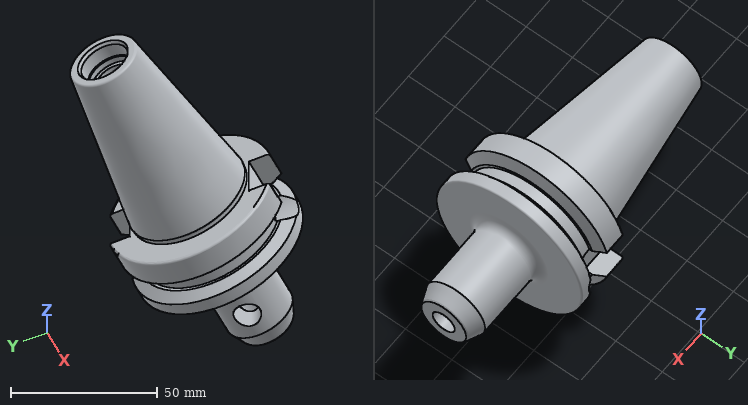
import cadquery as cq
import math

length = 128.9

taper_end = 65.4
taper_radius = 44.5 / 2
taper_slope = 7 / 48
small_end_radius = taper_radius - taper_end * taper_slope
small_end_round = 0.9
neck_start = 66.3
neck_radius = 44.0 / 2

flange_radius = 63.0 / 2
flange_back = 67.4
flange_front = 92.3
back_round = 1.0
front_round = 0.8
groove_back = 77.0
groove_floor_back = 79.4
groove_floor_front = 84.5
groove_front = 87.0
groove_radius = 26.0
groove_angle = math.radians(60)
back_wall_foot = flange_radius - (groove_floor_back - groove_back) * math.tan(groove_angle)
front_wall_foot = flange_radius - (groove_front - groove_floor_front) * math.tan(groove_angle)

nose_radius = 25.4 / 2
root_fillet = 4.1
nose_cone_start = 122.2
nose_tip_radius = 9.7
tip_chamfer = 0.6
tip_chamfer_height = 0.5
nose_cone_end = length - tip_chamfer
nose_cone_end_radius = nose_tip_radius + tip_chamfer_height

slot_width = 16.0
slot_floor = 22.7
slot_end = 88.3

mouth_radius = 9.5
entry_radius = 17.7 / 2
thread_radius = 17.0 / 2
middle_radius = 13.8 / 2
through_radius = 9.5 / 2
entry_depth = 6.5
thread_depth = 9.0
middle_depth = 38.7
mouth_angle = math.radians(30)
bore_cone_angle = math.radians(60)

screw_diameter = 9.5
screw_x = 112.8


def make_body():
    """Revolve the complete outer outline about X."""
    taper_angle = math.atan(taper_slope)
    round_end = small_end_round * (1 - math.sin(taper_angle))
    round_end_radius = small_end_radius + round_end * taper_slope
    round_centre_radius = round_end_radius - small_end_round * math.cos(taper_angle)
    fillet_mid = root_fillet * (1 - math.sqrt(0.5))
    outline = (
        cq.Workplane("XY")
        .moveTo(0, 0)
        .lineTo(0, round_centre_radius)
        .radiusArc((round_end, round_end_radius), small_end_round)
        .lineTo(taper_end, taper_radius)
        .lineTo(neck_start, neck_radius)
        .lineTo(flange_back, neck_radius)
        .lineTo(flange_back, flange_radius - back_round)
        .radiusArc((flange_back + back_round, flange_radius), back_round)
        .lineTo(groove_back, flange_radius)
        .lineTo(groove_floor_back, back_wall_foot)
        .lineTo(groove_floor_back, groove_radius)
        .lineTo(groove_floor_front, groove_radius)
        .lineTo(groove_floor_front, front_wall_foot)
        .lineTo(groove_front, flange_radius)
        .lineTo(flange_front - front_round, flange_radius)
        .radiusArc((flange_front, flange_radius - front_round), front_round)
        .lineTo(flange_front, nose_radius + root_fillet)
        .threePointArc(
            (flange_front + fillet_mid, nose_radius + fillet_mid),
            (flange_front + root_fillet, nose_radius),
        )
        .lineTo(nose_cone_start, nose_radius)
        .lineTo(nose_cone_end, nose_cone_end_radius)
        .lineTo(length, nose_tip_radius)
        .lineTo(length, 0)
        .close()
    )
    return outline.revolve(360, (0, 0, 0), (1, 0, 0))


def make_bore():
    """Revolve the stepped bore, open at both ends."""
    mouth_chamfer = (mouth_radius - entry_radius) / math.tan(mouth_angle)
    step_chamfer = entry_radius - thread_radius
    cone_length = (middle_radius - through_radius) / math.tan(bore_cone_angle)
    outline = (
        cq.Workplane("XY")
        .moveTo(0, 0)
        .lineTo(0, mouth_radius)
        .lineTo(mouth_chamfer, entry_radius)
        .lineTo(entry_depth, entry_radius)
        .lineTo(entry_depth + step_chamfer, thread_radius)
        .lineTo(thread_depth, thread_radius)
        .lineTo(thread_depth, middle_radius)
        .lineTo(middle_depth, middle_radius)
        .lineTo(middle_depth + cone_length, through_radius)
        .lineTo(length, through_radius)
        .lineTo(length, 0)
        .close()
    )
    return outline.revolve(360, (0, 0, 0), (1, 0, 0))


def make_drive_slot(side):
    """Round-ended slot, open towards the taper; side is +1 or -1 along Y."""
    end_radius = slot_width / 2
    arc_centre = slot_end - end_radius
    return (
        cq.Workplane("XZ", origin=(0, side * slot_floor, 0))
        .moveTo(taper_end, -end_radius)
        .lineTo(arc_centre, -end_radius)
        .threePointArc((slot_end, 0), (arc_centre, end_radius))
        .lineTo(taper_end, end_radius)
        .close()
        .extrude(-side * flange_radius)
    )


def make_screw_hole():
    """Radial hole from the -Z side of the nose into the bore."""
    return (
        cq.Workplane("XY")
        .center(screw_x, 0)
        .circle(screw_diameter / 2)
        .extrude(-flange_radius)
    )


result = make_body().cut(make_bore()).cut(make_screw_hole())
for slot_side in (1, -1):
    result = result.cut(make_drive_slot(slot_side))